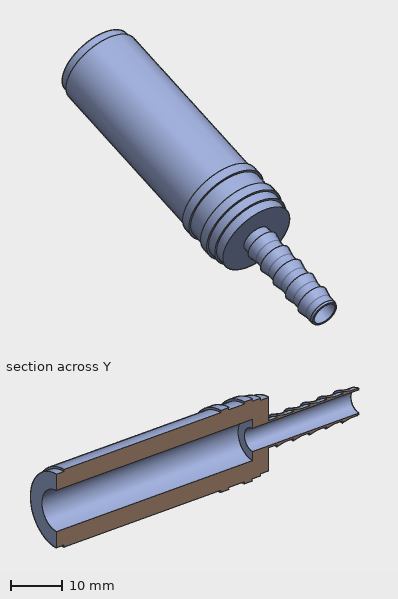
import cadquery as cq

total_length = 75.5
segment = 2.05
barb_count = 5

sleeve_radius = 8.5
lip_radius = 8.1
front_lip_length = 1.9
ring_radius = 9.0
ring_gap = 3.85

stem_radius = 3.0
barb_radius = 3.5
tip_chamfer_length = 0.45
tip_chamfer_depth = 0.15
stem_length = 22.5
barb_pitch = stem_length / (barb_count + 0.5)
barb_length = barb_pitch / 2

socket_radius = 4.45
stem_bore_radius = 2.5
end_wall = 2 * segment

sleeve_end = total_length - stem_length
rear_lip_start = sleeve_end - segment
rear_ring_start = rear_lip_start - 2 * segment
front_ring_start = rear_ring_start - ring_gap - segment
socket_depth = sleeve_end - end_wall


def cylinder(start, end, radius):
    """Solid round bar along X between two stations."""
    return cq.Workplane("YZ", origin=(start, 0, 0)).circle(radius).extrude(end - start)


def make_sleeve():
    """Main body with a reduced lip at each end and two raised rings."""
    sleeve = cylinder(0, sleeve_end, lip_radius)
    sleeve = sleeve.union(cylinder(front_lip_length, rear_lip_start, sleeve_radius))
    for ring_start in (front_ring_start, rear_ring_start):
        sleeve = sleeve.union(cylinder(ring_start, ring_start + segment, ring_radius))
    return sleeve


def make_stem():
    """Hose stem, revolved from a sawtooth outline whose barbs taper toward the tip."""
    tip_radius = stem_radius - tip_chamfer_depth
    outline = cq.Workplane("XY").moveTo(sleeve_end, 0).lineTo(sleeve_end, stem_radius)
    for index in range(barb_count):
        barb_start = sleeve_end + index * barb_pitch + barb_length
        outline = outline.lineTo(barb_start, stem_radius)
        outline = outline.lineTo(barb_start, barb_radius)
        outline = outline.lineTo(barb_start + barb_length, stem_radius)
    outline = outline.lineTo(total_length - tip_chamfer_length, stem_radius)
    outline = outline.lineTo(total_length, tip_radius).lineTo(total_length, 0).close()
    return outline.revolve(360, (0, 0, 0), (1, 0, 0))


def make_bores():
    """Socket from the front face, followed by the through bore of the stem."""
    return cylinder(0, socket_depth, socket_radius).union(cylinder(0, total_length, stem_bore_radius))


result = make_sleeve().union(make_stem()).cut(make_bores())